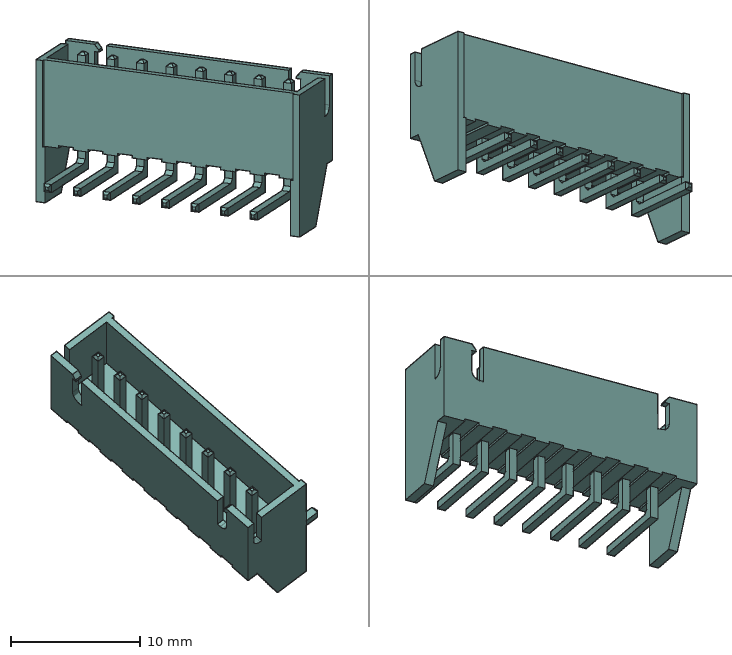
import cadquery as cq


length = 22.4
depth = 6.14
height = 11.5
shroud_height = 7.0
shroud_bottom = height - shroud_height

side_wall = 0.58
back_wall = 0.6
front_wall = 0.58
floor_thickness = 1.57
front_recess = 0.22

leg_thickness = 0.78
leg_foot_depth = 3.02
leg_back_step = 1.0

slot_depth = 3.05
slot_radius = 0.7
side_slot_width = 0.83
back_slot_width = 1.0
tab_width = 2.46
latch_reach = 0.38
latch_height = 0.58
latch_chamfer_reach = 0.34
latch_chamfer_height = 0.4

pin_count = 8
pin_span = 17.5
pin_pitch = pin_span / (pin_count - 1)
first_pin_x = (length - pin_span) / 2
pin_size = 0.65
pin_overhang = 3.35
pin_y = 3.43
tail_z = 2.3
pin_top = height
pin_taper = 0.2
bend_chamfer = 0.31

notch_width = 1.23
notch_height = 0.2


def pin_positions():
    return [first_pin_x + i * pin_pitch for i in range(pin_count)]


def box(x, y, z):
    """Box given by its (low, high) limits along each axis."""
    size = (x[1] - x[0], y[1] - y[0], z[1] - z[0])
    return cq.Workplane("XY").box(*size, centered=False).translate((x[0], y[0], z[0]))


def make_side(x_low):
    """Side plate with its leg, tapering toward the foot."""
    return (
        cq.Workplane("YZ", origin=(x_low, 0, 0))
        .polyline([
            (0, 0),
            (leg_foot_depth, 0),
            (depth - leg_back_step, shroud_bottom),
            (depth, shroud_bottom),
            (depth, height),
            (0, height),
        ])
        .close()
        .extrude(leg_thickness)
    )


def slot_outline(plane, width):
    """Open-topped slot from 0 to width whose floor is rounded at its starting wall."""
    slot_bottom = height - slot_depth
    return (
        plane.moveTo(0, height)
        .lineTo(0, slot_bottom + slot_radius)
        .radiusArc((slot_radius, slot_bottom), -slot_radius)
        .lineTo(width, slot_bottom)
        .lineTo(width, height)
        .close()
    )


def make_side_slots():
    """Slot across both side walls, just in front of the back wall."""
    left_face = cq.Plane(origin=(0, depth - back_wall, 0), xDir=(0, -1, 0), normal=(-1, 0, 0))
    return slot_outline(cq.Workplane(left_face), side_slot_width).extrude(-length)


def make_back_slot():
    """Slot through the back wall beside the left tab, less the latch nose that overhangs it."""
    plane = cq.Workplane("XZ", origin=(tab_width, depth, 0))
    slot = slot_outline(plane, back_slot_width).extrude(back_wall)
    latch = (
        plane.moveTo(0, height)
        .lineTo(latch_chamfer_reach, height - latch_chamfer_height)
        .lineTo(latch_reach, height - latch_height)
        .lineTo(0, height - latch_height)
        .close()
        .extrude(back_wall)
    )
    return slot.cut(latch)


def mirror_in_x(shape):
    return shape.mirror("YZ", (length / 2, 0, 0))


def make_notch(x):
    """Clearance notch around a pin, open through the front and back."""
    half = notch_width / 2
    return box((x - half, x + half), (0, depth), (shroud_bottom, shroud_bottom + notch_height))


def make_housing():
    """Open-topped shroud between two side plates, with its slots and notches."""
    shroud = box((side_wall, length - side_wall), (front_recess, depth), (shroud_bottom, height))
    housing = shroud.union(make_side(0)).union(make_side(length - leg_thickness))

    cavity = box(
        (side_wall, length - side_wall),
        (front_recess + front_wall, depth - back_wall),
        (shroud_bottom + floor_thickness, height),
    )
    recess = box((side_wall, length - side_wall), (0, front_recess), (shroud_bottom, height))
    housing = housing.cut(cavity).cut(recess)

    for x in pin_positions():
        housing = housing.cut(make_notch(x))

    back_slot = make_back_slot()
    return housing.cut(make_side_slots()).cut(back_slot).cut(mirror_in_x(back_slot))


def make_pin(x):
    """Square pin, upright through the floor and bent toward the front, with tapered ends."""
    half = pin_size / 2
    inner_y = pin_y - half
    tail_top = tail_z + half
    pin = (
        cq.Workplane("YZ", origin=(x - half, 0, 0))
        .moveTo(-pin_overhang, tail_z - half)
        .lineTo(pin_y + half, tail_z - half)
        .lineTo(pin_y + half, pin_top)
        .lineTo(inner_y, pin_top)
        .lineTo(inner_y, tail_top + bend_chamfer)
        .lineTo(inner_y - bend_chamfer, tail_top)
        .lineTo(-pin_overhang, tail_top)
        .close()
        .extrude(pin_size)
    )
    return pin.faces(">Z").chamfer(pin_taper).faces("<Y").chamfer(pin_taper)


pins = [make_pin(x) for x in pin_positions()]

housing = make_housing()
for pin in pins:
    housing = housing.cut(pin)

result = cq.Compound.makeCompound([housing.val(), *[pin.val() for pin in pins]])